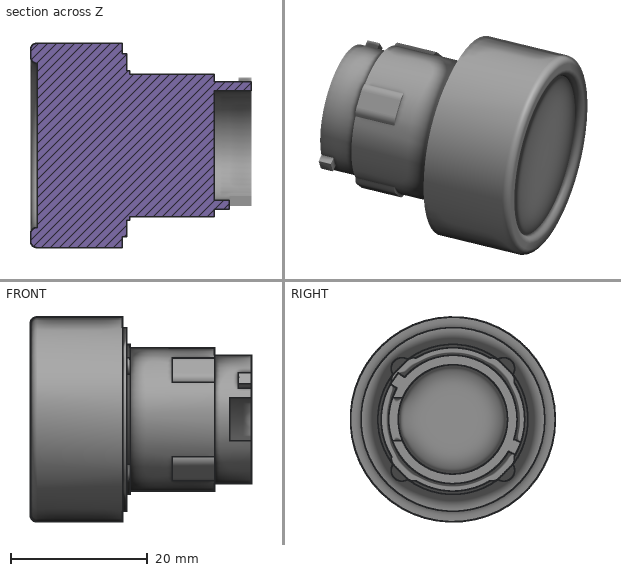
import cadquery as cq

lip_round = 1.0
bezel_end = 13.5
flange_end = 14.13
collar_end = 14.6
pad_start = 20.75
body_end = 26.95
rear_end = 32.4

bezel_radius = 15.0
recess_radius = bezel_radius - 3 * lip_round
flange_radius = 13.45
collar_radius = 10.98
body_radius = 10.5
rear_radius = 9.4
bore_radius = 8.0

pad_width = 5.5
pad_round = 1.5
pad_height = 10.85
pad_angles = (45, 135, 225, 315)

lobe_radius = 1.6
lobe_offset = 10.53

tab_length = 1.95
tab_width = 1.98
tab_height = 10.45
tab_angles = (145, -24)

notch_length = 3.25
notch_width = 6.3


def disc(start, end, radius):
    """Cylinder along X between two axial positions."""
    return cq.Workplane("YZ").workplane(offset=start).circle(radius).extrude(end - start)


def radial_block(start, end, inner, outer, width):
    """Block reaching outward along +Y."""
    block = cq.Workplane("XY").box(end - start, outer - inner, width, centered=(False, False, True))
    return block.translate((start, inner, 0))


def turned(shape, angle):
    """Shape turned about the X axis."""
    return shape.rotate((0, 0, 0), (1, 0, 0), angle)


def make_bezel():
    """Front ring with rounded lips around a shallow flat recess."""
    bezel = disc(0, bezel_end, bezel_radius).faces("<X").edges().fillet(lip_round)
    recess = (
        cq.Workplane("XY")
        .moveTo(0, 0)
        .lineTo(0, recess_radius + lip_round)
        .radiusArc((lip_round, recess_radius), -lip_round)
        .lineTo(lip_round, 0)
        .close()
    )
    return bezel.cut(recess.revolve(360, (0, 0, 0), (1, 0, 0)))


def make_pad():
    """Flat-topped pad with rounded long edges, pointing along +Y."""
    pad = radial_block(pad_start, body_end, bore_radius, pad_height, pad_width)
    return pad.faces(">Y").edges("|X").fillet(pad_round)


def make_lobe():
    """Round lobe bulging from the collar along +Y."""
    return disc(flange_end, collar_end, lobe_radius).translate((0, lobe_offset, 0))


def make_tab():
    """Square tab at the rear rim, pointing along +Y."""
    return radial_block(rear_end - tab_length, rear_end, bore_radius, tab_height, tab_width)


result = make_bezel()
result = result.union(disc(bezel_end, flange_end, flange_radius))
result = result.union(disc(flange_end, collar_end, collar_radius))
result = result.union(disc(collar_end, body_end, body_radius))
result = result.union(disc(body_end, rear_end, rear_radius))

for angle in pad_angles:
    result = result.union(turned(make_pad(), angle))
    result = result.union(turned(make_lobe(), angle))

for angle in tab_angles:
    result = result.union(turned(make_tab(), angle))

result = result.cut(disc(body_end, rear_end, bore_radius))
notch = radial_block(rear_end - notch_length, rear_end, 0, bezel_radius, notch_width)
result = result.cut(turned(notch, 180))